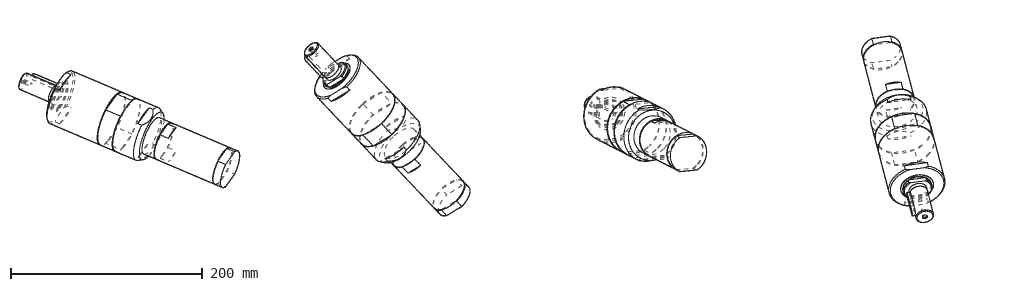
import cadquery as cq
import math

TOTAL_LENGTH = 247.5
JOINT_CHAMFER = 0.5

SHAFT_DIAMETER = 18.8
SHAFT_CHAMFER = 1.0
SHAFT_SHOULDER_START = 36.0
SHAFT_SHOULDER_DIAMETER = 19.0

CENTRE_HOLE_DIAMETER = 4.0
CENTRE_HOLE_DEPTH = 10.0
COUNTERSINK_DIAMETER = 5.5
DRILL_TIP_ANGLE = 118.0
COUNTERSINK_ANGLE = 60.0

KEY_START = 5.0
KEY_LENGTH = 32.2
KEY_WIDTH = 6.5
KEY_TOP = 12.4

COLLAR_START = 39.8
COLLAR_DIAMETER = 31.0
COLLAR_CHAMFER = 1.0
COLLAR_ACROSS_FLATS = 24.5

SEAL_BORE = 30.0
SEAL_DIAMETER = 35.0
SEAL_DEPTH = 0.5

HOUSING_START = 44.3
HOUSING_DIAMETER = 60.0
HOUSING_FRONT_CHAMFER = 1.5
HOUSING_TAPER_START = 148.7
HOUSING_END = 154.0
HOUSING_END_DIAMETER = 53.7
HOUSING_ACROSS_FLATS = 54.7
FRONT_FLATS_END = 51.0
MIDDLE_FLATS_START = 106.0
MIDDLE_FLATS_END = 123.8
REAR_FLATS_START = 144.3

SLEEVE_DIAMETER = 41.5
SLEEVE_FLATS_START = 168.5
SLEEVE_FLATS_END = 178.5
SLEEVE_ACROSS_FLATS = 38.0
END_FLATS_START = 238.0
END_ACROSS_FLATS = 36.6


def revolve_outline(outline):
    """Revolve a closed outline of (x, radius) points about the X axis."""
    return cq.Workplane("XY").polyline(outline).close().revolve(360, (0, 0, 0), (1, 0, 0))


def turned_body():
    """Solid of revolution with every shaft, collar, housing and sleeve step."""
    shaft_r = SHAFT_DIAMETER / 2
    shoulder_r = SHAFT_SHOULDER_DIAMETER / 2
    collar_r = COLLAR_DIAMETER / 2
    housing_r = HOUSING_DIAMETER / 2
    sleeve_r = SLEEVE_DIAMETER / 2
    outline = [
        (0, 0),
        (0, shaft_r - SHAFT_CHAMFER),
        (SHAFT_CHAMFER, shaft_r),
        (SHAFT_SHOULDER_START, shaft_r),
        (SHAFT_SHOULDER_START, shoulder_r),
        (COLLAR_START, shoulder_r),
        (COLLAR_START, collar_r - COLLAR_CHAMFER),
        (COLLAR_START + COLLAR_CHAMFER, collar_r),
        (HOUSING_START - JOINT_CHAMFER, collar_r),
        (HOUSING_START, SEAL_BORE / 2),
        (HOUSING_START + SEAL_DEPTH, SEAL_BORE / 2),
        (HOUSING_START + SEAL_DEPTH, SEAL_DIAMETER / 2),
        (HOUSING_START, SEAL_DIAMETER / 2),
        (HOUSING_START, housing_r - HOUSING_FRONT_CHAMFER),
        (HOUSING_START + HOUSING_FRONT_CHAMFER, housing_r),
        (HOUSING_TAPER_START, housing_r),
        (HOUSING_END, HOUSING_END_DIAMETER / 2),
        (HOUSING_END, sleeve_r),
        (TOTAL_LENGTH, sleeve_r),
        (TOTAL_LENGTH, 0),
    ]
    return revolve_outline(outline)


def joint_groove(small_end, large_end, diameter):
    """Ring cutter for a joint chamfer: full depth at small_end, fading out at large_end."""
    outer_r = diameter / 2
    triangle = [
        (small_end, outer_r - JOINT_CHAMFER),
        (small_end, outer_r),
        (large_end, outer_r),
    ]
    return revolve_outline(triangle)


def flats(start, end, across_flats, diameter):
    """Cutter for a pair of flats on the +Z and -Z sides of a round section."""
    length = end - start
    envelope = cq.Workplane("XY").box(length, 2 * diameter, 2 * diameter)
    core = cq.Workplane("XY").box(length, 2 * diameter, across_flats)
    return envelope.cut(core).translate(((start + end) / 2, 0, 0))


def shaft_key():
    """Round-ended key standing from the shaft axis out to its top face."""
    return (
        cq.Workplane("XZ")
        .center(KEY_START + KEY_LENGTH / 2, 0)
        .slot2D(KEY_LENGTH, KEY_WIDTH)
        .extrude(-KEY_TOP)
    )


def cone_height(diameter, angle):
    """Height of a cone with the given base diameter and full tip angle in degrees."""
    return diameter / 2 / math.tan(math.radians(angle / 2))


def centre_hole():
    """Cutter for the drilled, countersunk hole on the axis at the shaft end."""
    hole_r = CENTRE_HOLE_DIAMETER / 2
    countersink_depth = cone_height(COUNTERSINK_DIAMETER - CENTRE_HOLE_DIAMETER, COUNTERSINK_ANGLE)
    outline = [
        (0, 0),
        (0, COUNTERSINK_DIAMETER / 2),
        (countersink_depth, hole_r),
        (CENTRE_HOLE_DEPTH, hole_r),
        (CENTRE_HOLE_DEPTH + cone_height(CENTRE_HOLE_DIAMETER, DRILL_TIP_ANGLE), 0),
    ]
    return revolve_outline(outline)


body = turned_body().union(shaft_key())

flat_sections = [
    (COLLAR_START, HOUSING_START, COLLAR_ACROSS_FLATS, COLLAR_DIAMETER),
    (HOUSING_START, FRONT_FLATS_END, HOUSING_ACROSS_FLATS, HOUSING_DIAMETER),
    (MIDDLE_FLATS_START, MIDDLE_FLATS_END, HOUSING_ACROSS_FLATS, HOUSING_DIAMETER),
    (REAR_FLATS_START, HOUSING_END, HOUSING_ACROSS_FLATS, HOUSING_DIAMETER),
    (SLEEVE_FLATS_START, SLEEVE_FLATS_END, SLEEVE_ACROSS_FLATS, SLEEVE_DIAMETER),
    (END_FLATS_START, TOTAL_LENGTH, END_ACROSS_FLATS, SLEEVE_DIAMETER),
]
for start, end, across_flats, diameter in flat_sections:
    body = body.cut(flats(start, end, across_flats, diameter))

joints = [
    (MIDDLE_FLATS_START, MIDDLE_FLATS_START - JOINT_CHAMFER, HOUSING_DIAMETER),
    (MIDDLE_FLATS_END, MIDDLE_FLATS_END - JOINT_CHAMFER, HOUSING_DIAMETER),
    (SLEEVE_FLATS_START, SLEEVE_FLATS_START - JOINT_CHAMFER, SLEEVE_DIAMETER),
    (END_FLATS_START, END_FLATS_START + JOINT_CHAMFER, SLEEVE_DIAMETER),
]
for small_end, large_end, diameter in joints:
    body = body.cut(joint_groove(small_end, large_end, diameter))

result = body.cut(centre_hole())